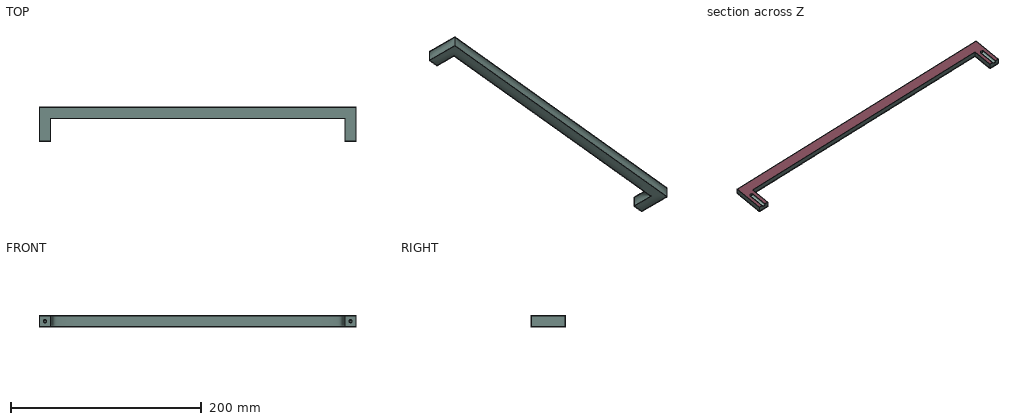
import cadquery as cq
import math

length = 332.0
depth = 36.0
bar = 12.0

hole_diameter = 3.3
hole_depth = 20.0
drill_point_angle = 118.0
hole_spacing = length - bar


def drilled_hole(x):
    """Drill-shaped solid centred in a leg end at x, pointing along +Y."""
    radius = hole_diameter / 2
    mouth = -depth / 2
    shoulder = mouth + hole_depth
    tip = shoulder + radius / math.tan(math.radians(drill_point_angle / 2))
    half_profile = [(0, mouth), (radius, mouth), (radius, shoulder), (0, tip)]
    drill = cq.Workplane("XY").polyline(half_profile).close().revolve(360, (0, 0), (0, 1))
    return drill.translate((x, 0, 0))


handle = cq.Workplane("XY").box(length, depth, bar)
gap_depth = depth - bar
gap = cq.Workplane("XY").box(length - 2 * bar, gap_depth, bar).translate((0, -bar / 2, 0))
handle = handle.cut(gap)

for x in (-hole_spacing / 2, hole_spacing / 2):
    handle = handle.cut(drilled_hole(x))

result = handle